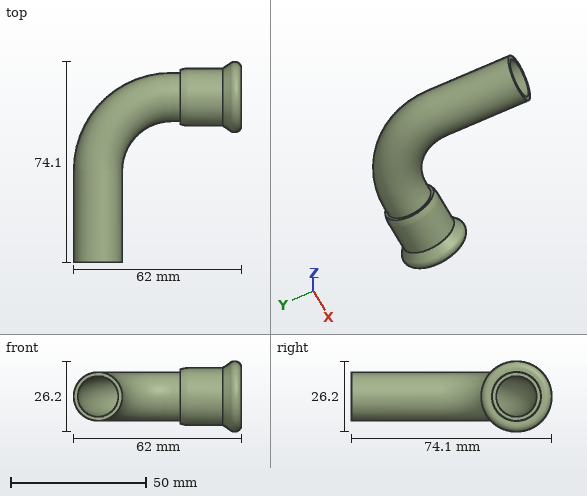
import cadquery as cq
import math

pipe_diameter = 18.0
pipe_bore = 15.0
bend_radius = 27.05
overall_y = 74.1

socket_diameter = 21.3
socket_bore = 18.2
shoulder_diameter = 20.15
bead_diameter = 26.15
bead_radius = 2.5
overall_x = 62.0

shoulder_start = 30.4
shoulder_end = 33.1
flare_start = 46.1
flare_end = 48.75
socket_end = overall_x - pipe_diameter / 2

leg_length = overall_y - bead_diameter / 2 - bend_radius
leg_end_y = -bend_radius - leg_length
pipe_insert_end = shoulder_end


def make_elbow_pipe():
    """Straight leg, quarter bend and the short outlet that enters the socket."""
    bend_middle = bend_radius * (1 - math.sqrt(0.5))
    path = (
        cq.Workplane("XY")
        .moveTo(0, leg_end_y)
        .lineTo(0, -bend_radius)
        .threePointArc((bend_middle, -bend_middle), (bend_radius, 0))
        .lineTo(pipe_insert_end, 0)
    )
    return (
        cq.Workplane("XZ", origin=(0, leg_end_y, 0))
        .circle(pipe_diameter / 2)
        .circle(pipe_bore / 2)
        .sweep(path)
    )


def make_socket():
    """Sleeve with a rounded shoulder, a conical flare and a rounded mouth bead."""
    pipe_r = pipe_diameter / 2
    bore_r = socket_bore / 2
    socket_r = socket_diameter / 2
    shoulder_r = shoulder_diameter / 2
    bead_x = socket_end - bead_radius
    bead_center_r = bead_diameter / 2 - bead_radius
    flare_r = bead_center_r + math.sqrt(bead_radius**2 - (bead_x - flare_end) ** 2)

    shoulder_length = shoulder_end - shoulder_start
    shoulder_drop = socket_r - shoulder_r
    shoulder_arc = (shoulder_length**2 + shoulder_drop**2) / (2 * shoulder_drop)
    half_length = shoulder_length / 2
    shoulder_mid_r = socket_r - shoulder_arc + math.sqrt(shoulder_arc**2 - half_length**2)

    profile = (
        cq.Workplane("XY")
        .moveTo(shoulder_start, pipe_r)
        .lineTo(shoulder_start, shoulder_r)
        .threePointArc((shoulder_start + half_length, shoulder_mid_r), (shoulder_end, socket_r))
        .lineTo(flare_start, socket_r)
        .lineTo(flare_end, flare_r)
        .threePointArc((bead_x, bead_diameter / 2), (socket_end, bead_center_r))
        .lineTo(socket_end, bore_r)
        .lineTo(pipe_insert_end, bore_r)
        .lineTo(pipe_insert_end, pipe_r)
        .close()
    )
    return profile.revolve(360, (0, 0, 0), (1, 0, 0))


elbow_pipe = make_elbow_pipe()
socket = make_socket()
result = cq.Compound.makeCompound([elbow_pipe.val(), socket.val()])